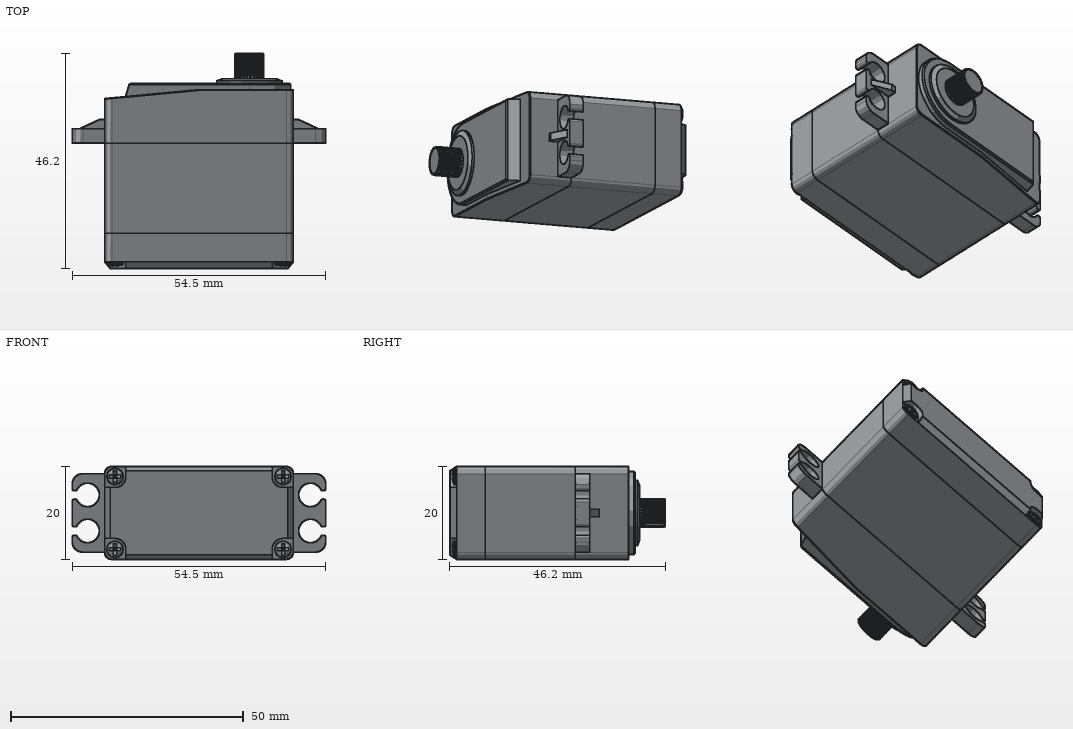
import cadquery as cq
import math

HOUSING_LENGTH = 40.55
HOUSING_WIDTH = 20.0
CORNER_RADIUS = 1.6
COVER_TOP = 7.6
MIDDLE_TOP = 26.9
TOP_CASE_HIGH = 38.4
TOP_CASE_LOW = 36.5
SLOPE_END_X = 0.0
TOP_EDGE_CHAMFER = 0.15
CREASE_MARGIN = 0.55

PANEL_HEIGHT = 1.45
PANEL_BEVEL_X = 1.2
PANEL_BEVEL_Z = 1.0
POCKET_RADIUS = 2.35
SCREW_X = HOUSING_LENGTH / 2 - 2.25
SCREW_Z = HOUSING_WIDTH / 2 - 2.2

HEAD_RADIUS = 1.8
HEAD_ROOT_RADIUS = 1.7
HEAD_FLUTES = 18
HEAD_RIM_HEIGHT = 0.5
HEAD_HEIGHT = 1.0
HEAD_CROWN = PANEL_HEIGHT - HEAD_HEIGHT
RECESS_LENGTH = 3.7
RECESS_WIDTH = 0.65
RECESS_DEPTH = 0.65

OVERALL_LENGTH = 54.5
FLANGE_WIDTH = 16.9
FLANGE_THICKNESS = 3.1
FLANGE_CORNER_RADIUS = 2.3
FLANGE_HOLE_RADIUS = 2.5
FLANGE_HOLE_X = OVERALL_LENGTH / 2 - 3.3
FLANGE_HOLE_Z = 3.85
SLOT_WIDTH = 1.75
LIP_RADIUS = 0.55
RIB_WIDTH = 1.65
RIB_HEIGHT = 2.0
RIB_FLAT_LENGTH = 1.05
RIB_END_INSET = 1.65

SHAFT_X = 10.8
PLATFORM_TOP = 39.8
PLATFORM_RADIUS = 8.95
PLATFORM_LEFT_TOP_X = -14.95
PLATFORM_LEFT_LOW_X = -15.9
PLATFORM_CHAMFER = 0.3

COLLAR_RADIUS = 7.05
COLLAR_HEIGHT = 1.0
COLLAR_BEVEL_HEIGHT = 0.5
COLLAR_BEVEL_WIDTH = 1.2
SHAFT_TOP = 46.2
SHAFT_RADIUS = 3.1
SPLINE_ROOT_RADIUS = 2.8
SPLINE_TEETH = 25
SPLINE_RUNOUT_HEIGHT = 1.3
SHAFT_TIP_CHAMFER = 0.2


def plane_at(y, x=0.0, z=0.0):
    """Sketch plane facing +Y, with local axes X and -Z."""
    return cq.Workplane(cq.Plane(origin=(x, y, z), xDir=(1, 0, 0), normal=(0, 1, 0)))


def rounded_block(y_start, y_end):
    """Part of the housing block between two Y positions."""
    block = plane_at(y_start).rect(HOUSING_LENGTH, HOUSING_WIDTH).extrude(y_end - y_start)
    return block.edges("|Y").fillet(CORNER_RADIUS)


def toothed_prism(plane, tooth_radii, teeth, height):
    """Prism with equal teeth around it, each drawn through evenly spaced points at the given radii."""
    outline_radii = tooth_radii * teeth
    step = 2 * math.pi / len(outline_radii)
    points = []
    for i, radius in enumerate(outline_radii):
        points.append((radius * math.cos(i * step), radius * math.sin(i * step)))
    return plane.polyline(points).close().extrude(height)


def corner_pocket(side_x, side_z):
    """Round pocket around a screw, open to both outer sides of the corner."""
    x = side_x * SCREW_X
    z = side_z * SCREW_Z
    reach = 2 * POCKET_RADIUS
    pocket = plane_at(0, x, z).circle(POCKET_RADIUS).extrude(PANEL_HEIGHT)
    toward_end = plane_at(0, x + side_x * reach / 2, z).rect(reach, reach).extrude(PANEL_HEIGHT)
    toward_side = plane_at(0, x, z + side_z * reach / 2).rect(reach, reach).extrude(PANEL_HEIGHT)
    return pocket.union(toward_end).union(toward_side)


def recess_wedge():
    """One bar of the cross recess, with a floor that slopes down to the screw axis."""
    profile = [
        (-RECESS_LENGTH / 2, HEAD_CROWN),
        (RECESS_LENGTH / 2, HEAD_CROWN),
        (0, HEAD_CROWN + RECESS_DEPTH),
    ]
    return cq.Workplane("XY").polyline(profile).close().extrude(RECESS_WIDTH / 2, both=True)


def screw_head():
    """Fluted head with a domed top and a cross recess, its axis along Y through the origin."""
    pointed_tooth = [HEAD_RADIUS, HEAD_ROOT_RADIUS]
    fluted = toothed_prism(plane_at(HEAD_CROWN), pointed_tooth, HEAD_FLUTES, HEAD_HEIGHT)
    dome_height = HEAD_HEIGHT - HEAD_RIM_HEIGHT
    dome_radius = (HEAD_RADIUS**2 + dome_height**2) / (2 * dome_height)
    dome = cq.Workplane("XY").sphere(dome_radius).translate((0, HEAD_CROWN + dome_radius, 0))
    bar = recess_wedge()
    return fluted.intersect(dome).cut(bar).cut(bar.rotate((0, 0, 0), (0, 1, 0), 90))


def make_cover():
    panel = (
        plane_at(0)
        .rect(HOUSING_LENGTH - 2 * PANEL_BEVEL_X, HOUSING_WIDTH - 2 * PANEL_BEVEL_Z)
        .workplane(offset=PANEL_HEIGHT)
        .rect(HOUSING_LENGTH, HOUSING_WIDTH)
        .loft(combine=True)
    )
    body = rounded_block(PANEL_HEIGHT, COVER_TOP)
    head = screw_head()
    corners = [(side_x, side_z) for side_x in (-1, 1) for side_z in (-1, 1)]
    for side_x, side_z in corners:
        panel = panel.cut(corner_pocket(side_x, side_z))
    body = body.union(panel)
    for side_x, side_z in corners:
        body = body.union(head.translate((side_x * SCREW_X, 0, side_z * SCREW_Z)))
    return body


def make_middle_case():
    return rounded_block(COVER_TOP, MIDDLE_TOP)


def make_flange():
    """Flange on the +X end, with two round holes that open through its outer edge."""
    inner_x = HOUSING_LENGTH / 2
    outer_x = OVERALL_LENGTH / 2
    flange = (
        plane_at(MIDDLE_TOP, (inner_x + outer_x) / 2)
        .rect(outer_x - inner_x, FLANGE_WIDTH)
        .extrude(FLANGE_THICKNESS)
        .edges("|Y and >X")
        .fillet(FLANGE_CORNER_RADIUS)
    )
    slot_length = outer_x - FLANGE_HOLE_X
    for side_z in (-1, 1):
        hole_plane = plane_at(MIDDLE_TOP, FLANGE_HOLE_X, side_z * FLANGE_HOLE_Z)
        hole = hole_plane.circle(FLANGE_HOLE_RADIUS).extrude(FLANGE_THICKNESS)
        slot = hole_plane.center(slot_length / 2, 0).rect(slot_length, SLOT_WIDTH).extrude(FLANGE_THICKNESS)
        flange = flange.cut(hole).cut(slot)
    mouth_reach = SLOT_WIDTH / 2 + LIP_RADIUS / 2
    for side_z in (-1, 1):
        z = side_z * FLANGE_HOLE_Z
        mouth = cq.selectors.BoxSelector(
            (FLANGE_HOLE_X, MIDDLE_TOP, z - mouth_reach),
            (outer_x + LIP_RADIUS, MIDDLE_TOP + FLANGE_THICKNESS, z + mouth_reach),
        )
        flange = flange.edges("|Y").edges(mouth).fillet(LIP_RADIUS)
    return flange


def make_rib():
    """Sloping rib that braces the +X flange against the housing."""
    base = MIDDLE_TOP + FLANGE_THICKNESS
    inner_x = HOUSING_LENGTH / 2
    profile = [
        (inner_x, base),
        (inner_x, base + RIB_HEIGHT),
        (inner_x + RIB_FLAT_LENGTH, base + RIB_HEIGHT),
        (OVERALL_LENGTH / 2 - RIB_END_INSET, base),
    ]
    return cq.Workplane("XY").polyline(profile).close().extrude(RIB_WIDTH / 2, both=True)


def make_platform():
    """Platform with a slanted -X end and a +X end rounded about the shaft axis."""
    height = PLATFORM_TOP - MIDDLE_TOP
    lean = (PLATFORM_LEFT_TOP_X - PLATFORM_LEFT_LOW_X) / (PLATFORM_TOP - TOP_CASE_LOW)
    outline = (
        plane_at(MIDDLE_TOP)
        .moveTo(-HOUSING_LENGTH / 2, -PLATFORM_RADIUS)
        .lineTo(SHAFT_X, -PLATFORM_RADIUS)
        .threePointArc((SHAFT_X + PLATFORM_RADIUS, 0), (SHAFT_X, PLATFORM_RADIUS))
        .lineTo(-HOUSING_LENGTH / 2, PLATFORM_RADIUS)
        .close()
        .extrude(height)
    )
    right_limit = SHAFT_X + PLATFORM_RADIUS
    side_profile = [
        (PLATFORM_LEFT_TOP_X - lean * height, MIDDLE_TOP),
        (PLATFORM_LEFT_TOP_X, PLATFORM_TOP),
        (right_limit, PLATFORM_TOP),
        (right_limit, MIDDLE_TOP),
    ]
    leaning = cq.Workplane("XY").polyline(side_profile).close().extrude(PLATFORM_RADIUS, both=True)
    return outline.intersect(leaning).faces(">Y").chamfer(PLATFORM_CHAMFER)


def make_top_case():
    slope_cut = (
        cq.Workplane("XY")
        .moveTo(-HOUSING_LENGTH / 2, TOP_CASE_LOW)
        .lineTo(SLOPE_END_X, TOP_CASE_HIGH)
        .lineTo(-HOUSING_LENGTH / 2, TOP_CASE_HIGH)
        .close()
        .extrude(HOUSING_WIDTH, both=True)
    )
    case = rounded_block(MIDDLE_TOP, TOP_CASE_HIGH).cut(slope_cut)
    upper_edges = cq.selectors.BoxSelector(
        (-HOUSING_LENGTH, TOP_CASE_LOW - TOP_EDGE_CHAMFER, -HOUSING_WIDTH),
        (HOUSING_LENGTH, TOP_CASE_HIGH + TOP_EDGE_CHAMFER, HOUSING_WIDTH),
    )
    crease = cq.selectors.BoxSelector(
        (SLOPE_END_X - CREASE_MARGIN, TOP_CASE_LOW, -CREASE_MARGIN),
        (SLOPE_END_X + CREASE_MARGIN, PLATFORM_TOP, CREASE_MARGIN),
    )
    case = case.edges(upper_edges - crease).chamfer(TOP_EDGE_CHAMFER)
    end = make_flange().union(make_rib())
    return case.union(end).union(end.mirror("YZ")).union(make_platform())


def make_collar():
    collar = plane_at(PLATFORM_TOP, SHAFT_X).circle(COLLAR_RADIUS).extrude(COLLAR_HEIGHT)
    collar = collar.faces(">Y").edges().chamfer(COLLAR_BEVEL_HEIGHT, COLLAR_BEVEL_WIDTH)
    bore = plane_at(PLATFORM_TOP, SHAFT_X).circle(SHAFT_RADIUS).extrude(COLLAR_HEIGHT)
    return collar.cut(bore)


def make_output_shaft():
    """Plain journal inside the collar, then a spline whose grooves run out at its foot."""
    spline_start = PLATFORM_TOP + COLLAR_HEIGHT
    spline_length = SHAFT_TOP - spline_start
    spline_plane = plane_at(spline_start, SHAFT_X)
    flat_tooth = [SHAFT_RADIUS, SHAFT_RADIUS, SPLINE_ROOT_RADIUS, SPLINE_ROOT_RADIUS]
    spline = toothed_prism(spline_plane, flat_tooth, SPLINE_TEETH, spline_length)
    envelope = spline_plane.circle(SHAFT_RADIUS).extrude(spline_length)
    spline = spline.intersect(envelope.faces(">Y").chamfer(SHAFT_TIP_CHAMFER))
    runout = (
        spline_plane.circle(SHAFT_RADIUS)
        .workplane(offset=SPLINE_RUNOUT_HEIGHT)
        .circle(SPLINE_ROOT_RADIUS)
        .loft(combine=True)
    )
    journal = plane_at(PLATFORM_TOP, SHAFT_X).circle(SHAFT_RADIUS).extrude(COLLAR_HEIGHT)
    return journal.union(runout).union(spline)


cover = make_cover()
middle_case = make_middle_case()
top_case = make_top_case()
collar = make_collar()
output_shaft = make_output_shaft()

result = cq.Compound.makeCompound([
    cover.val(),
    middle_case.val(),
    top_case.val(),
    collar.val(),
    output_shaft.val(),
])